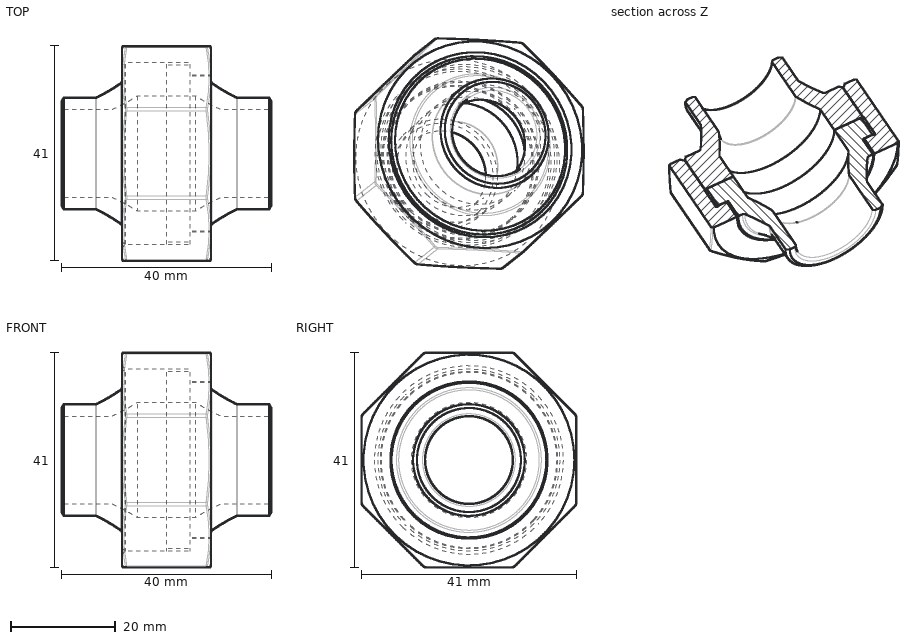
import cadquery as cq
import math


UNION_LENGTH = 40.0
NUT_ACROSS_FLATS = 41.0
NUT_WIDTH = 17.0
END_X = UNION_LENGTH / 2
NUT_FACE_X = NUT_WIDTH / 2

PIPE_RADIUS = 21.3 / 2
BORE_RADIUS = 16.7 / 2
WELD_CHAMFER_LENGTH = 0.42
WELD_CHAMFER_ANGLE = 60.0
PIPE_FILLET = 0.5

FLARE_START_X = 13.42
SHOULDER_X = NUT_FACE_X
SHOULDER_FOOT_RADIUS = 13.55
FLARE_HOLLOW = 0.12

CHAMBER_RADIUS = 22.0 / 2
BORE_END_X = 10.45
CHAMBER_START_X = BORE_END_X - (FLARE_START_X - SHOULDER_X)

JOINT_RADIUS = 34.7 / 2
BODY_CHAMFER_RADIUS = 33.5 / 2
NUT_MOUTH_RADIUS = 36.0 / 2

NECK_RADIUS = 29.5 / 2
COLLAR_RADIUS = 33.84 / 2
COLLAR_THICKNESS = 4.5
NUT_NECK_BORE_RADIUS = 30.0 / 2

NUT_CORNER_FILLET = 1.0
NUT_FACE_RADIUS = 40.2 / 2
NUT_BEVEL_ANGLE = 20.5
NUT_BEVEL_FILLET = 0.3
NUT_SIDES = 8

RING_TOLERANCE = 0.001


def hollow_middle(start, end, hollow):
    """Midpoint of an arc that sags below the chord from start to end."""
    run = end[0] - start[0]
    rise = end[1] - start[1]
    chord = math.hypot(run, rise)
    mid_x = (start[0] + end[0]) / 2 + hollow * rise / chord
    mid_radius = (start[1] + end[1]) / 2 - hollow * run / chord
    return (mid_x, mid_radius)


def fillet_ring(piece, x, radius):
    """Round the circular edge of the given radius that lies at X = x."""
    rings = [
        edge for edge in piece.edges("%CIRCLE").vals()
        if math.isclose(edge.Center().x, x, abs_tol=RING_TOLERANCE)
        and math.isclose(edge.radius(), radius, abs_tol=RING_TOLERANCE)
    ]
    return piece.newObject(rings).fillet(PIPE_FILLET)


def pipe_piece(joint_points):
    """Pipe piece with its weld end at -X and its sealing face at X = 0.

    joint_points run from beyond the shoulder foot outward and on to the sealing face.
    """
    bore_end = (-BORE_END_X, BORE_RADIUS)
    chamber_start = (-CHAMBER_START_X, CHAMBER_RADIUS)
    flare_start = (-FLARE_START_X, PIPE_RADIUS)
    flare_end = (-SHOULDER_X, SHOULDER_FOOT_RADIUS)
    chamfer_height = WELD_CHAMFER_LENGTH * math.tan(math.radians(WELD_CHAMFER_ANGLE))

    outline = (
        cq.Workplane("XY")
        .moveTo(0, CHAMBER_RADIUS)
        .lineTo(*chamber_start)
        .threePointArc(hollow_middle(bore_end, chamber_start, FLARE_HOLLOW), bore_end)
        .lineTo(-END_X, BORE_RADIUS)
        .lineTo(-END_X, PIPE_RADIUS - chamfer_height)
        .lineTo(-END_X + WELD_CHAMFER_LENGTH, PIPE_RADIUS)
        .lineTo(*flare_start)
        .threePointArc(hollow_middle(flare_start, flare_end, FLARE_HOLLOW), flare_end)
    )
    for point in joint_points:
        outline = outline.lineTo(*point)
    piece = outline.close().revolve(360, (0, 0, 0), (1, 0, 0))

    bore_lip = (-END_X, BORE_RADIUS)
    for x, radius in [bore_lip, bore_end, flare_start, flare_end]:
        piece = fillet_ring(piece, x, radius)
    return piece


def make_body():
    """Threaded body, its joint cylinder chamfered at the nut mouth."""
    chamfer = JOINT_RADIUS - BODY_CHAMFER_RADIUS
    return pipe_piece([
        (-SHOULDER_X, BODY_CHAMFER_RADIUS),
        (-SHOULDER_X + chamfer, JOINT_RADIUS),
        (0, JOINT_RADIUS),
    ])


def make_tailpiece():
    """Tailpiece whose collar is held between the body and the nut."""
    return pipe_piece([
        (-SHOULDER_X, NECK_RADIUS),
        (-COLLAR_THICKNESS, NECK_RADIUS),
        (-COLLAR_THICKNESS, COLLAR_RADIUS),
        (0, COLLAR_RADIUS),
    ]).mirror("YZ")


def make_nut_blank():
    """Octagonal prism with rounded corners and a conical bevel at both ends."""
    corner_radius = NUT_ACROSS_FLATS / 2 / math.cos(math.pi / NUT_SIDES)
    prism = (
        cq.Workplane("YZ")
        .workplane(offset=-NUT_FACE_X)
        .transformed(rotate=(0, 0, 180 / NUT_SIDES))
        .polygon(NUT_SIDES, 2 * corner_radius)
        .extrude(NUT_WIDTH)
        .edges("|X")
        .fillet(NUT_CORNER_FILLET)
    )
    bevel_length = (corner_radius - NUT_FACE_RADIUS) * math.tan(math.radians(NUT_BEVEL_ANGLE))
    bevelled_disc = (
        cq.Workplane("XY")
        .moveTo(-NUT_FACE_X, 0)
        .lineTo(-NUT_FACE_X, NUT_FACE_RADIUS)
        .lineTo(-NUT_FACE_X + bevel_length, corner_radius)
        .lineTo(NUT_FACE_X - bevel_length, corner_radius)
        .lineTo(NUT_FACE_X, NUT_FACE_RADIUS)
        .lineTo(NUT_FACE_X, 0)
        .close()
        .revolve(360, (0, 0, 0), (1, 0, 0))
    )
    blank = prism.intersect(bevelled_disc)
    return blank.edges("(not #X) and (not |X)").edges("not %CIRCLE").fillet(NUT_BEVEL_FILLET)


def make_nut():
    """Nut bored for the body, with a smaller opening for the tailpiece neck."""
    mouth_chamfer = NUT_MOUTH_RADIUS - JOINT_RADIUS
    cavity = (
        cq.Workplane("XY")
        .moveTo(-NUT_FACE_X, 0)
        .lineTo(-NUT_FACE_X, NUT_MOUTH_RADIUS)
        .lineTo(-NUT_FACE_X + mouth_chamfer, JOINT_RADIUS)
        .lineTo(COLLAR_THICKNESS, JOINT_RADIUS)
        .lineTo(COLLAR_THICKNESS, NUT_NECK_BORE_RADIUS)
        .lineTo(NUT_FACE_X, NUT_NECK_BORE_RADIUS)
        .lineTo(NUT_FACE_X, 0)
        .close()
        .revolve(360, (0, 0, 0), (1, 0, 0))
    )
    return make_nut_blank().cut(cavity)


body = make_body()
tailpiece = make_tailpiece()
nut = make_nut()
result = cq.Compound.makeCompound([body.val(), tailpiece.val(), nut.val()])